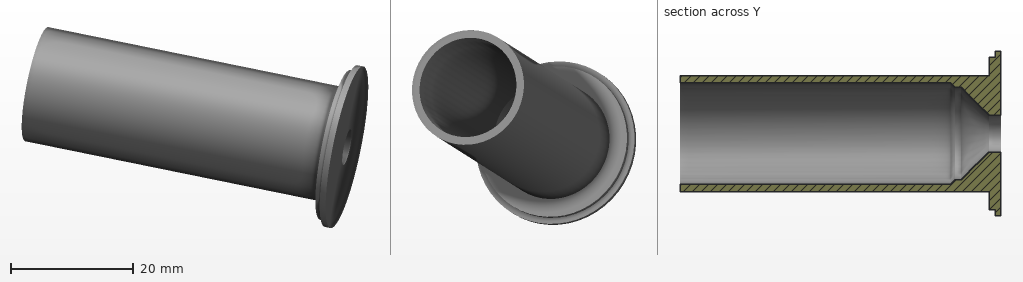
import cadquery as cq
import math

total_length = 52.5
flange_diameter = 27.0
flange_thickness = 1.0
shoulder_diameter = 25.0
shoulder_thickness = 1.0
tube_diameter = 19.05

bore_diameter = 16.5
land_diameter = 15.0
land_length = 1.0
outlet_diameter = 6.0
cone_angle = math.radians(45)
floor_thickness = flange_thickness + shoulder_thickness
cone_length = (land_diameter - outlet_diameter) / 2 / math.tan(cone_angle)

open_end = -total_length / 2
flange_end = total_length / 2
flange_start = flange_end - flange_thickness
shoulder_start = flange_start - shoulder_thickness
cone_end = flange_end - floor_thickness
cone_start = cone_end - cone_length
land_start = cone_start - land_length
bore_end = land_start - (bore_diameter - land_diameter) / 2 / math.tan(cone_angle)


def cylinder(start, end, diameter):
    """Solid cylinder along X between two positions."""
    return cq.Workplane("YZ", origin=(start, 0, 0)).circle(diameter / 2).extrude(end - start)


def make_body():
    """Tube with a stepped flange at the +X end."""
    tube = cylinder(open_end, flange_end, tube_diameter)
    shoulder = cylinder(shoulder_start, flange_end, shoulder_diameter)
    flange = cylinder(flange_start, flange_end, flange_diameter)
    return tube.union(shoulder).union(flange)


def make_cavity():
    """Straight bore with a land, a conical bottom and a through outlet."""
    return (
        cq.Workplane("XY")
        .moveTo(open_end, 0)
        .lineTo(open_end, bore_diameter / 2)
        .lineTo(bore_end, bore_diameter / 2)
        .lineTo(land_start, land_diameter / 2)
        .lineTo(cone_start, land_diameter / 2)
        .lineTo(cone_end, outlet_diameter / 2)
        .lineTo(flange_end, outlet_diameter / 2)
        .lineTo(flange_end, 0)
        .close()
        .revolve(360, (0, 0, 0), (1, 0, 0))
    )


result = make_body().cut(make_cavity())